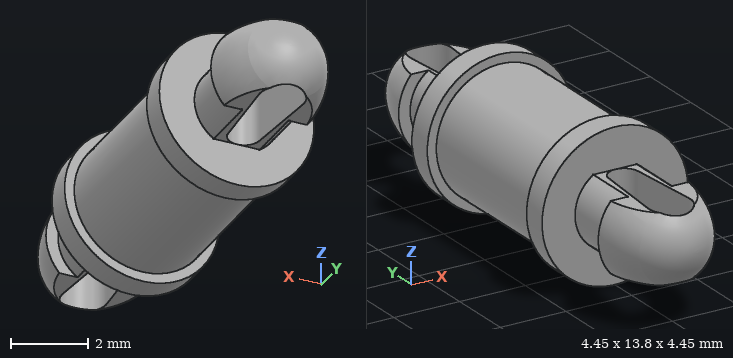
import cadquery as cq
import math

SPACER_LENGTH = 6.4
BARREL_DIAMETER = 3.9
FLANGE_DIAMETER = 4.45
FLANGE_THICKNESS = 0.76

PIN_LENGTH = 13.81
STEM_DIAMETER = 2.44
PIN_FLAT_WIDTH = 2.05
HEAD_LENGTH = 2.0
HEAD_BASE_RADIUS = 1.57
DOME_HEIGHT = 0.66
DOME_RIM_RADIUS = 1.15

TIP_WALL = 0.39
SLOT_TIP_RADIUS = 0.63
SLOT_ROOT_RADIUS = 0.45

spacer_end = SPACER_LENGTH / 2
pin_tip = PIN_LENGTH / 2
head_base = pin_tip - HEAD_LENGTH
dome_rim = pin_tip - DOME_HEIGHT


def cylinder_along_y(diameter, length):
    """Cylinder on the Y axis, centred on the origin."""
    return cq.Workplane("XZ", origin=(0, length / 2, 0)).circle(diameter / 2).extrude(length)


def both_ends(feature):
    """The feature at the +Y end, followed by its mirror copy at the -Y end."""
    return [feature, feature.mirror("XZ")]


def make_stem():
    """Round rod with a flat on its top and bottom."""
    rod = cylinder_along_y(STEM_DIAMETER, 2 * head_base)
    return rod.intersect(cq.Workplane("XY").box(STEM_DIAMETER, PIN_LENGTH, PIN_FLAT_WIDTH))


def make_head():
    """Spherical dome running tangentially into a flared skirt, cut to the stem's flats."""
    dome_radius = (DOME_RIM_RADIUS**2 + DOME_HEIGHT**2) / (2 * DOME_HEIGHT)
    dome_center = pin_tip - dome_radius
    half_angle = math.atan2(DOME_RIM_RADIUS, dome_rim - dome_center) / 2
    dome_middle = (
        dome_radius * math.sin(half_angle),
        dome_center + dome_radius * math.cos(half_angle),
    )
    profile = (
        cq.Workplane("XY")
        .moveTo(0, pin_tip)
        .threePointArc(dome_middle, (DOME_RIM_RADIUS, dome_rim))
        .tangentArcPoint((HEAD_BASE_RADIUS, head_base), relative=False)
        .lineTo(0, head_base)
        .close()
    )
    head = profile.revolve(360, (0, 0, 0), (0, 1, 0))
    return head.intersect(cq.Workplane("XY").box(2 * HEAD_BASE_RADIUS, PIN_LENGTH, PIN_FLAT_WIDTH))


def make_slot():
    """Cutter with rounded ends, narrowing from the tip to the spacer's end face."""
    tip_center = pin_tip - TIP_WALL - SLOT_TIP_RADIUS
    root_center = spacer_end + SLOT_ROOT_RADIUS
    taper = math.asin((SLOT_TIP_RADIUS - SLOT_ROOT_RADIUS) / (tip_center - root_center))
    tip_x = SLOT_TIP_RADIUS * math.cos(taper)
    tip_y = tip_center - SLOT_TIP_RADIUS * math.sin(taper)
    root_x = SLOT_ROOT_RADIUS * math.cos(taper)
    root_y = root_center - SLOT_ROOT_RADIUS * math.sin(taper)
    return (
        cq.Workplane("XY")
        .moveTo(root_x, root_y)
        .lineTo(tip_x, tip_y)
        .threePointArc((0, pin_tip - TIP_WALL), (-tip_x, tip_y))
        .lineTo(-root_x, root_y)
        .threePointArc((0, spacer_end), (root_x, root_y))
        .close()
        .extrude(PIN_FLAT_WIDTH, both=True)
    )


def make_pin():
    """Stem through the spacer with a slotted snap head at each end."""
    pin = make_stem()
    for head in both_ends(make_head()):
        pin = pin.union(head)
    for slot in both_ends(make_slot()):
        pin = pin.cut(slot)
    return pin


def make_spacer():
    """Barrel with an end flange on each side and a bore that fits the stem."""
    flange_center = spacer_end - FLANGE_THICKNESS / 2
    flange = cylinder_along_y(FLANGE_DIAMETER, FLANGE_THICKNESS).translate((0, flange_center, 0))
    spacer = cylinder_along_y(BARREL_DIAMETER, SPACER_LENGTH)
    for end_flange in both_ends(flange):
        spacer = spacer.union(end_flange)
    return spacer.cut(make_stem())


spacer = make_spacer()
pin = make_pin()

result = cq.Compound.makeCompound([spacer.solids().val(), pin.solids().val()])